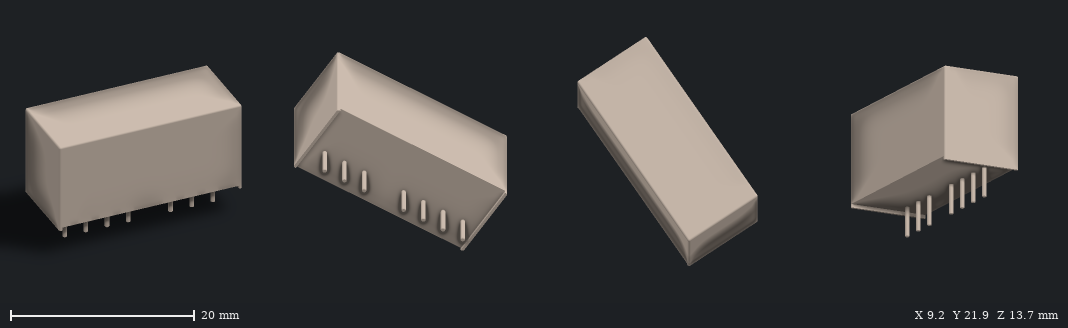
import cadquery as cq

case_width = 9.2
case_length = 21.85
overall_height = 13.65
pin_below_feet = 2.97
case_height = overall_height - pin_below_feet
edge_radius = 0.25
foot_height = 0.4
foot_thickness = 0.33

pin_diameter = 0.5
pin_tip_chamfer = 0.07
pin_pitch = 2.53
pin_row_x = 1.4
pin_slots = 8
empty_slot = 3
pin_embed = 0.44


def make_case():
    """Block standing on Z = 0, rounded on its upright and top edges."""
    block = (
        cq.Workplane("XY")
        .box(case_width, case_length, case_height, centered=(True, True, False))
        .edges("|Z or >Z")
        .fillet(edge_radius)
    )
    underside_recess = cq.Workplane("XY").box(
        case_width, case_length - 2 * foot_thickness, foot_height, centered=(True, True, False)
    )
    return block.cut(underside_recess)


def make_pin(y):
    """Round pin from below the feet up into the case, with a chamfered tip."""
    pin_length = pin_below_feet + foot_height + pin_embed
    return (
        cq.Workplane("XY", origin=(pin_row_x, y, -pin_below_feet))
        .circle(pin_diameter / 2)
        .extrude(pin_length)
        .faces("<Z")
        .edges()
        .chamfer(pin_tip_chamfer)
    )


result = make_case()
first_pin_y = (pin_slots - 1) * pin_pitch / 2
for slot in range(pin_slots):
    if slot != empty_slot:
        result = result.union(make_pin(first_pin_y - slot * pin_pitch))